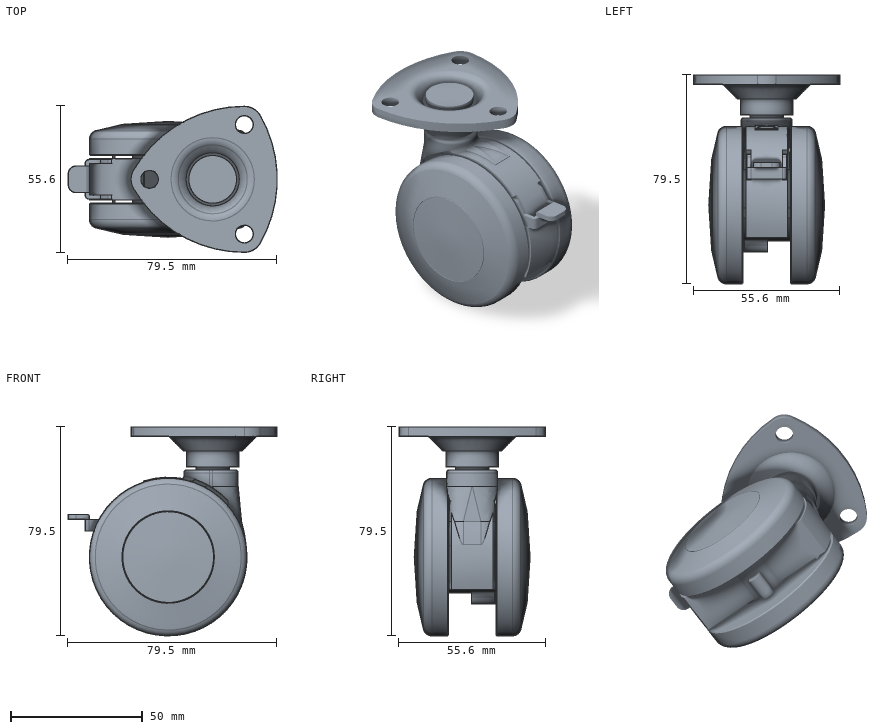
import cadquery as cq
import math


wheel_radius = 30.0
wheel_inner_y = 9.1
wheel_tread_end_y = 15.35
wheel_shoulder_end_radius = 27.75
wheel_shoulder_end_y = 18.45
wheel_cap_edge_y = 20.9
wheel_apex_y = 22.0
wheel_shoulder_radius = 3.0
wheel_inner_chamfer = 0.4
cap_groove_radius = 17.25
cap_groove_width = 0.3
cap_groove_depth = 0.3

swivel_x = 16.9
plate_top_z = 49.5
plate_thickness = 3.65
plate_hole_pitch_radius = 24.0
plate_hole_diameter = 6.7
plate_corner_radius = 7.0
plate_side_distance = 24.6
dish_lip_radius = 15.8
dish_cone_top_radius = 13.1
dish_ledge_radius = 10.1
dish_outer_radius = 16.7
dish_bottom_bevel = 0.95
dish_bottom_z = 40.3
hub_radius = 10.0
hub_bottom_z = 34.3

pin_head_radius = 9.1
pin_top_z = 48.0
pin_neck_radius = 6.4
pin_depth_in_housing = 7.95

drum_half_width = 7.9
drum_bottom_z = -12.3
axle_boss_radius = 13.6
collar_top_z = 33.15
collar_bottom_z = 26.9
collar_radius = 9.7
collar_front_shift = 1.3
collar_top_fillet = 1.1
flare_radius = 1.2
flare_end_x = 10.3
wheel_clearance_radius = 31.25
spine_half_width = 8.9
spine_start_x = 14.3
spine_front_x = 22.8
blade_top_z = 13.5
blade_top_rear_x = 27.9
blade_mid_rear = (28.95, 9.2)
spine_end_angle = 9.0
blade_corner_radius = 5.6
section_flat = 0.1
stop_tab_x = -21.2
stop_tab_thickness = 1.0
stop_tab_top_z = -1.0
stop_tab_bottom_z = -4.9
bottom_lug_y = (-0.3, 8.6)
bottom_lug_end_z = -17.8
bottom_lug_round = 2.55
arrow_base_x = -9.3
arrow_apex_x = 5.6
arrow_half_width = 4.4
arrow_pad_height = 0.4
arrow_rim = 0.4

lever_half_width = 7.55
lever_thickness = 1.6
lever_bottom_z = 9.85
lever_top_z = 14.3
lever_corner_radius = 1.5
lever_arm_rise_x = -25.7
lever_arm_shoulder = (-22.8, 18.2)
lever_arm_round = (-21.8, 19.0)
lever_arm_top = (-20.7, 19.25)
slot_end_x = -19.9
slot_floor_z = 9.55
slot_roof_corner = (-21.5, 20.9)
pedal_tip_x = -38.0
pedal_half_width = 5.1
pedal_thickness = 1.9
pedal_corner_radius = 3.0
pedal_bend_radius = 0.8


def box(x_range, y_range, z_range):
    """Box given by its lower and upper limits on each axis."""
    return (
        cq.Workplane("XY")
        .box(x_range[1] - x_range[0], y_range[1] - y_range[0], z_range[1] - z_range[0], centered=False)
        .translate((x_range[0], y_range[0], z_range[0]))
    )


def y_cylinder(radius, half_width):
    """Cylinder on the wheel axis, centred on Y = 0."""
    return cq.Workplane("XZ").circle(radius).extrude(half_width, both=True)


def both_sides(shape):
    """A shape together with its mirror image across the XZ plane."""
    return shape.union(shape.mirror("XZ"))


def make_wheel(side):
    """Wheel on the +Y side (side = 1) or the -Y side (side = -1)."""
    round_centre_r = wheel_radius - wheel_shoulder_radius
    slope = math.atan2(wheel_cap_edge_y - wheel_shoulder_end_y, wheel_shoulder_end_radius - cap_groove_radius)
    mid_angle = (math.pi / 2 - slope) / 2
    shoulder_mid = (
        round_centre_r + wheel_shoulder_radius * math.cos(mid_angle),
        wheel_tread_end_y + wheel_shoulder_radius * math.sin(mid_angle),
    )
    body = (
        cq.Workplane("XY")
        .moveTo(0, wheel_inner_y)
        .lineTo(wheel_radius - wheel_inner_chamfer, wheel_inner_y)
        .lineTo(wheel_radius, wheel_inner_y + wheel_inner_chamfer)
        .lineTo(wheel_radius, wheel_tread_end_y)
        .threePointArc(shoulder_mid, (wheel_shoulder_end_radius, wheel_shoulder_end_y))
        .lineTo(cap_groove_radius, wheel_cap_edge_y)
        .lineTo(0, wheel_apex_y)
        .close()
        .revolve(360, (0, 0, 0), (0, 1, 0))
    )
    groove_floor_y = wheel_cap_edge_y - cap_groove_depth
    groove = (
        cq.Workplane("XZ", origin=(0, groove_floor_y, 0))
        .circle(cap_groove_radius + cap_groove_width)
        .circle(cap_groove_radius)
        .extrude(-wheel_apex_y)
    )
    wheel = body.cut(groove)
    return wheel if side > 0 else wheel.mirror("XZ")


def plate_outline():
    """Triangle with bowed sides and round corners, around the swivel axis."""
    half_pitch = plate_hole_pitch_radius / 2
    reach = plate_side_distance - plate_corner_radius
    centre_offset = (plate_hole_pitch_radius**2 - reach**2) / (2 * (reach - half_pitch))
    corner_y = plate_hole_pitch_radius * math.sin(math.radians(60))
    tangent = math.degrees(math.atan2(corner_y, half_pitch + centre_offset))

    def corner_point(corner_angle, direction):
        corner = math.radians(corner_angle)
        turn = math.radians(direction)
        return (
            plate_hole_pitch_radius * math.cos(corner) + plate_corner_radius * math.cos(turn),
            plate_hole_pitch_radius * math.sin(corner) + plate_corner_radius * math.sin(turn),
        )

    outline = cq.Workplane("XY").moveTo(*corner_point(-60, -tangent))
    for side_angle in (0, 120, 240):
        side = math.radians(side_angle)
        corner = side_angle + 60
        side_middle = (plate_side_distance * math.cos(side), plate_side_distance * math.sin(side))
        outline = outline.threePointArc(side_middle, corner_point(corner, side_angle + tangent))
        next_start = corner_point(corner, side_angle + 120 - tangent)
        outline = outline.threePointArc(corner_point(corner, corner), next_start)
    return outline.close()


def make_plate():
    """Mounting plate with three holes, pressed into a dish that ends in a hub tube."""
    underside_z = plate_top_z - plate_thickness
    sheet = (
        plate_outline()
        .extrude(plate_thickness)
        .faces(">Z")
        .workplane(origin=(0, 0, 0))
        .polarArray(plate_hole_pitch_radius, 60, 360, 3)
        .hole(plate_hole_diameter)
        .translate((0, 0, underside_z))
    )
    cone_bottom_z = dish_bottom_z + dish_bottom_bevel
    cone_bottom_radius = dish_outer_radius - (underside_z - cone_bottom_z)
    dish = (
        cq.Workplane("XZ")
        .moveTo(0, plate_top_z)
        .lineTo(dish_outer_radius, plate_top_z)
        .lineTo(dish_outer_radius, underside_z)
        .lineTo(cone_bottom_radius, cone_bottom_z)
        .lineTo(cone_bottom_radius - dish_bottom_bevel, dish_bottom_z)
        .lineTo(hub_radius, dish_bottom_z)
        .lineTo(hub_radius, hub_bottom_z)
        .lineTo(0, hub_bottom_z)
        .close()
        .revolve(360, (0, 0, 0), (0, 1, 0))
    )
    lip_round = (dish_lip_radius - dish_cone_top_radius) / math.sin(math.radians(45))
    half_turn = math.radians(22.5)
    lip_middle = (
        dish_lip_radius - lip_round * math.sin(half_turn),
        plate_top_z - lip_round * (1 - math.cos(half_turn)),
    )
    cone_top_z = plate_top_z - lip_round * (1 - math.cos(2 * half_turn))
    ledge_z = cone_top_z - (dish_cone_top_radius - dish_ledge_radius)
    hollow = (
        cq.Workplane("XZ")
        .moveTo(0, plate_top_z)
        .lineTo(dish_lip_radius, plate_top_z)
        .threePointArc(lip_middle, (dish_cone_top_radius, cone_top_z))
        .lineTo(dish_ledge_radius, ledge_z)
        .lineTo(pin_head_radius, ledge_z)
        .lineTo(pin_head_radius, hub_bottom_z)
        .lineTo(0, hub_bottom_z)
        .close()
        .revolve(360, (0, 0, 0), (0, 1, 0))
    )
    return sheet.union(dish).cut(hollow).translate((swivel_x, 0, 0))


def make_pin():
    """Swivel pin: a wide head in the plate hub and a neck in the housing."""
    head = cq.Workplane("XY", origin=(swivel_x, 0, hub_bottom_z)).circle(pin_head_radius)
    head = head.extrude(pin_top_z - hub_bottom_z)
    return head.union(make_pin_neck())


def make_pin_neck():
    """Neck of the swivel pin, which is also the shape of its bore in the housing."""
    neck_bottom_z = collar_top_z - pin_depth_in_housing
    neck = cq.Workplane("XY", origin=(swivel_x, 0, neck_bottom_z)).circle(pin_neck_radius)
    return neck.extrude(hub_bottom_z - neck_bottom_z)


def collar_column(bottom_z):
    """Upright column with round ends, from bottom_z to the collar top."""
    return (
        cq.Workplane("XY", origin=(swivel_x - collar_front_shift / 2, 0, bottom_z))
        .slot2D(2 * collar_radius + collar_front_shift, 2 * collar_radius)
        .extrude(collar_top_z - bottom_z)
    )


def make_collar():
    """Top of the housing, with a rounded upper rim."""
    return collar_column(collar_bottom_z).faces(">Z").edges().fillet(collar_top_fillet)


def make_flare():
    """Fillet between the front of the collar and the drum."""
    wide_drum = y_cylinder(wheel_radius, 2 * collar_radius)
    filleted = wide_drum.union(collar_column(0))
    foot_edges = cq.selectors.BoxSelector(
        (0, -2 * collar_radius, 0), (2 * swivel_x, 2 * collar_radius, collar_top_z)
    )
    column_foot = [
        edge for edge in filleted.edges(foot_edges).vals() if edge.geomType() not in ("LINE", "CIRCLE")
    ]
    filleted = filleted.newObject(column_foot).fillet(flare_radius)
    keep = box(
        (0, flare_end_x), (-2 * collar_radius, 2 * collar_radius), (collar_bottom_z, wheel_clearance_radius)
    )
    return filleted.intersect(keep)


def spine_section(z, rear_x, half_width, corner_radius):
    """Horizontal section of the spine: a rectangle with two round rear corners."""
    diagonal = corner_radius * math.sqrt(0.5)
    corner_x = rear_x - corner_radius
    corner_y = half_width - corner_radius
    return (
        cq.Workplane("XY", origin=(0, 0, z))
        .moveTo(spine_start_x, -half_width)
        .lineTo(corner_x, -half_width)
        .threePointArc((corner_x + diagonal, -corner_y - diagonal), (rear_x, -corner_y))
        .lineTo(rear_x, corner_y)
        .threePointArc((corner_x + diagonal, corner_y + diagonal), (corner_x, half_width))
        .lineTo(spine_start_x, half_width)
        .close()
    )


def make_spine():
    """Rear of the housing, from the collar down to the drum."""
    collar_rear_x = swivel_x + collar_radius
    upper_round = collar_radius - section_flat
    upper = spine_section(collar_bottom_z, collar_rear_x, collar_radius, upper_round)
    lower = spine_section(blade_top_z, blade_top_rear_x, spine_half_width, blade_corner_radius)
    neck = cq.Workplane(cq.Solid.makeLoft([lower.val(), upper.val()], True))

    end = math.radians(spine_end_angle)
    arc_end = (wheel_radius * math.cos(end), wheel_radius * math.sin(end))
    drum_end_x = math.sqrt(wheel_radius**2 - drum_bottom_z**2)
    blade = (
        cq.Workplane("XZ")
        .moveTo(spine_start_x, blade_top_z)
        .lineTo(blade_top_rear_x, blade_top_z)
        .threePointArc(blade_mid_rear, arc_end)
        .threePointArc((wheel_radius, 0), (drum_end_x, drum_bottom_z))
        .lineTo(spine_start_x, drum_bottom_z)
        .close()
        .extrude(spine_half_width, both=True)
    )
    rear_edges = cq.selectors.BoxSelector(
        (spine_front_x, -wheel_radius, drum_bottom_z), (2 * wheel_radius, wheel_radius, blade_top_z)
    )
    blade = blade.edges(rear_edges).edges("not |Y").fillet(blade_corner_radius)
    return neck.union(blade)


def wheel_clearance():
    """Space beside the drum on the +Y side: deep in front of the spine, shallow beside it."""
    disc = cq.Workplane("XZ", origin=(0, drum_half_width, 0)).circle(wheel_clearance_radius)
    disc = disc.extrude(-wheel_radius)
    in_front = box(
        (-2 * wheel_radius, spine_front_x), (0, 2 * wheel_radius), (-2 * wheel_radius, 2 * wheel_radius)
    )
    beside = cq.Workplane("XZ", origin=(0, spine_half_width, 0)).circle(wheel_radius)
    return disc.intersect(in_front).union(beside.extrude(-wheel_radius))


def lever_slot():
    """Notch in the +Y edge of the drum for one lever arm."""
    corner_x, corner_z = slot_roof_corner
    roof_slope = corner_z / corner_x
    outside_x = 2 * corner_x
    return (
        cq.Workplane("XZ", origin=(0, lever_half_width - lever_thickness, 0))
        .moveTo(outside_x, slot_floor_z)
        .lineTo(slot_end_x, slot_floor_z)
        .lineTo(slot_end_x, slot_end_x * roof_slope)
        .lineTo(outside_x, outside_x * roof_slope)
        .close()
        .extrude(-wheel_inner_y)
    )


def make_bottom_lug():
    """Round-ended lug that hangs below the axle boss."""
    y_start, y_end = bottom_lug_y
    round_z = bottom_lug_end_z + bottom_lug_round
    stem = box((-bottom_lug_round, bottom_lug_round), bottom_lug_y, (round_z, drum_bottom_z))
    tip = cq.Workplane("XZ", origin=(0, y_end, round_z)).circle(bottom_lug_round).extrude(y_end - y_start)
    return stem.union(tip)


def make_arrow_pad():
    """Raised pad on top of the drum, with a triangular recess that points at the collar."""
    strip = box((arrow_base_x, arrow_apex_x), (-arrow_half_width, arrow_half_width), (0, 2 * wheel_radius))
    pad = y_cylinder(wheel_radius + arrow_pad_height, arrow_half_width).intersect(strip)
    recess_base_x = arrow_base_x + arrow_rim
    recess_half_width = arrow_half_width - arrow_rim
    triangle = (
        cq.Workplane("XY")
        .moveTo(recess_base_x, -recess_half_width)
        .lineTo(recess_base_x, recess_half_width)
        .lineTo(arrow_apex_x, 0)
        .close()
        .extrude(2 * wheel_radius)
    )
    return pad.cut(triangle)


def make_housing():
    """Drum between the wheels, with the collar that turns on the swivel pin."""
    across = (-2 * wheel_radius, 2 * wheel_radius)
    below = box(across, across, (-2 * wheel_radius, drum_bottom_z))
    drum = y_cylinder(wheel_radius, drum_half_width).cut(below)
    boss = y_cylinder(axle_boss_radius, wheel_inner_y)
    stop_tab = box(
        (stop_tab_x, stop_tab_x + stop_tab_thickness),
        (0, wheel_inner_y),
        (stop_tab_bottom_z, stop_tab_top_z),
    )
    housing = make_collar().union(make_flare()).union(make_spine())
    housing = housing.cut(both_sides(wheel_clearance()))
    housing = housing.union(drum).union(boss).union(both_sides(stop_tab)).union(make_bottom_lug())
    housing = housing.union(make_arrow_pad())
    housing = housing.cut(both_sides(lever_slot()))
    return housing.cut(make_pin_neck())


def make_lever():
    """Brake lever: a U that straddles the drum, with a pedal on its cross piece."""
    cross_inner_x = -wheel_radius
    cross_outer_x = cross_inner_x - lever_thickness
    cross_inner_y = lever_half_width - lever_thickness
    cross = box(
        (cross_outer_x, cross_inner_x), (-lever_half_width, lever_half_width), (lever_bottom_z, lever_top_z)
    )
    cross = cross.edges("|Z and <X").fillet(lever_corner_radius)
    arm = (
        cq.Workplane("XZ", origin=(0, cross_inner_y, 0))
        .moveTo(cross_inner_x, lever_bottom_z)
        .lineTo(slot_end_x, lever_bottom_z)
        .lineTo(slot_end_x, lever_arm_top[1])
        .lineTo(*lever_arm_top)
        .threePointArc(lever_arm_round, lever_arm_shoulder)
        .lineTo(lever_arm_rise_x, lever_top_z)
        .lineTo(cross_inner_x, lever_top_z)
        .close()
        .extrude(-lever_thickness)
    )
    pedal = box(
        (pedal_tip_x, cross_inner_x),
        (-pedal_half_width, pedal_half_width),
        (lever_top_z, lever_top_z + pedal_thickness),
    )
    pedal = pedal.edges("|Z and <X").fillet(pedal_corner_radius)
    pedal = pedal.edges("|Y and >X and >Z").fillet(pedal_bend_radius)
    return cross.union(both_sides(arm)).union(pedal)


plate = make_plate()
pin = make_pin()
housing = make_housing()
lever = make_lever()
wheels = [make_wheel(side) for side in (-1, 1)]

result = cq.Compound.makeCompound(
    [plate.val(), pin.val(), housing.val(), lever.val(), *[wheel.val() for wheel in wheels]]
)